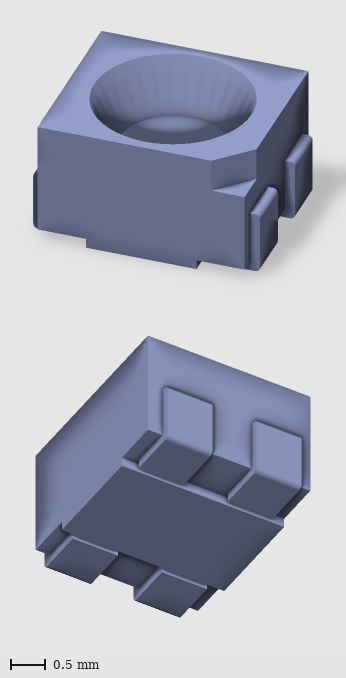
import cadquery as cq

body_length = 3.16
body_width = 2.71
total_height = 1.9
total_length = 3.46
base_length = 1.69

lead_thickness = (total_length - body_length) / 2
lead_width = 0.75
lead_pitch = 1.488
lead_height = 0.97
foot_length = 0.8
lead_round = 0.075

rim_radius = 1.2
floor_radius = 0.8
cup_depth = 0.8

corner_cut = 0.51


def make_body():
    """Rectangular body standing on a shorter full-width base."""
    body = cq.Workplane("XY").box(
        body_length, body_width, total_height - lead_thickness, centered=(True, True, False)
    ).translate((0, 0, lead_thickness))
    base = cq.Workplane("XY").box(
        base_length, body_width, lead_thickness, centered=(True, True, False)
    )
    return body.union(base)


def make_cup():
    """Round cavity with a conical wall and a flat floor."""
    floor_z = total_height - cup_depth
    return (
        cq.Workplane("XZ")
        .moveTo(0, floor_z)
        .lineTo(floor_radius, floor_z)
        .lineTo(rim_radius, total_height)
        .lineTo(0, total_height)
        .close()
        .revolve(360, (0, 0, 0), (0, 1, 0))
    )


def make_corner_cut():
    """Triangular notch in the top of the +X, -Y corner."""
    corner_x = body_length / 2
    corner_y = -body_width / 2
    return (
        cq.Workplane("XY", origin=(0, 0, total_height - corner_cut))
        .moveTo(corner_x, corner_y)
        .lineTo(corner_x - corner_cut, corner_y)
        .lineTo(corner_x, corner_y + corner_cut)
        .close()
        .extrude(corner_cut)
    )


def make_lead():
    """L-shaped lead for the -X end, centred on Y = 0."""
    outer_x = -total_length / 2
    inner_x = -body_length / 2
    return (
        cq.Workplane("XZ")
        .moveTo(outer_x, 0)
        .lineTo(outer_x + foot_length, 0)
        .lineTo(outer_x + foot_length, lead_thickness)
        .lineTo(inner_x, lead_thickness)
        .lineTo(inner_x, lead_height)
        .lineTo(outer_x, lead_height)
        .close()
        .extrude(lead_width / 2, both=True)
        .edges("|Y and <X")
        .fillet(lead_round)
    )


result = make_body().cut(make_cup()).cut(make_corner_cut())
left_lead = make_lead()
right_lead = left_lead.mirror("YZ")
for lead_y in (-lead_pitch / 2, lead_pitch / 2):
    for lead in (left_lead, right_lead):
        result = result.union(lead.translate((0, lead_y, 0)))